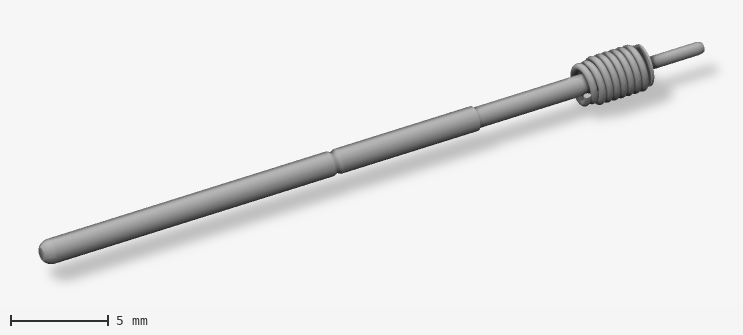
import cadquery as cq
import math

length = 38.1

body_diameter = 1.35
body_end = 24.95
nose_flat_diameter = 0.72
nose_length = 0.55
groove_center = 16.85
groove_width = 0.45
groove_floor_width = 0.08
groove_floor_diameter = 1.15
stem_diameter = 1.1
pin_diameter = 0.7
tip_flat_diameter = 0.5
tip_length = 0.3

disc_diameter = 2.25
disc_thickness = 0.1
disc_end = 34.75
disc_start = disc_end - disc_thickness

wire_diameter = 0.4
spring_diameter = 2.55
spring_end_diameter = 2.25
coil_turns = 8.7
coil_length = 3.55
coil_pitch = coil_length / coil_turns
points_per_turn = 16
spring_start = 30.98
narrow_turns = 1.5
taper_turns = 0.6


def rounding_midpoint(side_radius, side_y, flat_radius, flat_y):
    """Middle of the arc that leaves a cylinder side tangentially and meets the end flat."""
    drop = side_radius - flat_radius
    reach = flat_y - side_y
    arc_radius = (drop**2 + reach**2) / (2 * drop)
    half_angle = math.asin(abs(reach) / arc_radius) / 2
    return (
        side_radius - arc_radius * (1 - math.cos(half_angle)),
        side_y + math.copysign(arc_radius * math.sin(half_angle), reach),
    )


def make_core():
    """Stepped pin turned about the Y axis, with both ends rounded and a groove round the body."""
    body_radius = body_diameter / 2
    stem_radius = stem_diameter / 2
    pin_radius = pin_diameter / 2
    disc_radius = disc_diameter / 2
    floor_radius = groove_floor_diameter / 2
    profile = (
        cq.Workplane("XY")
        .moveTo(0, length)
        .lineTo(0, 0)
        .lineTo(nose_flat_diameter / 2, 0)
        .threePointArc(
            rounding_midpoint(body_radius, nose_length, nose_flat_diameter / 2, 0),
            (body_radius, nose_length),
        )
        .lineTo(body_radius, groove_center - groove_width / 2)
        .lineTo(floor_radius, groove_center - groove_floor_width / 2)
        .lineTo(floor_radius, groove_center + groove_floor_width / 2)
        .lineTo(body_radius, groove_center + groove_width / 2)
        .lineTo(body_radius, body_end)
        .lineTo(stem_radius, body_end)
        .lineTo(stem_radius, disc_start)
        .lineTo(disc_radius, disc_start)
        .lineTo(disc_radius, disc_end)
        .lineTo(pin_radius, disc_end)
        .lineTo(pin_radius, length - tip_length)
        .threePointArc(
            rounding_midpoint(pin_radius, length - tip_length, tip_flat_diameter / 2, length),
            (tip_flat_diameter / 2, length),
        )
        .close()
    )
    return profile.revolve(360, (0, 0, 0), (0, 1, 0))


def coil_radius(turn):
    """Radius of the wire centreline: the narrow ends blend smoothly into the wide middle."""
    into_spring = min(turn - narrow_turns, coil_turns - turn)
    blend = min(max(into_spring / taper_turns, 0), 1)
    swell = (1 - math.cos(math.pi * blend)) / 2
    outer_diameter = spring_end_diameter + swell * (spring_diameter - spring_end_diameter)
    return (outer_diameter - wire_diameter) / 2


def coil_point(turn):
    """Centreline point of the right-handed coil, counted in turns from its nose end."""
    angle = 2 * math.pi * turn
    radius = coil_radius(turn)
    return (
        radius * math.cos(angle),
        spring_start + coil_pitch * turn,
        -radius * math.sin(angle),
    )


def make_spring():
    """Round wire swept along the coil centreline."""
    steps = round(coil_turns * points_per_turn)
    points = [coil_point(coil_turns * step / steps) for step in range(steps + 1)]
    path = cq.Workplane("XY").spline(points)
    start_direction = path.val().tangentAt(0)
    wire_section = cq.Workplane(
        cq.Plane(origin=points[0], normal=start_direction.toTuple())
    ).circle(wire_diameter / 2)
    return wire_section.sweep(path, isFrenet=True)


result = make_core().union(make_spring())